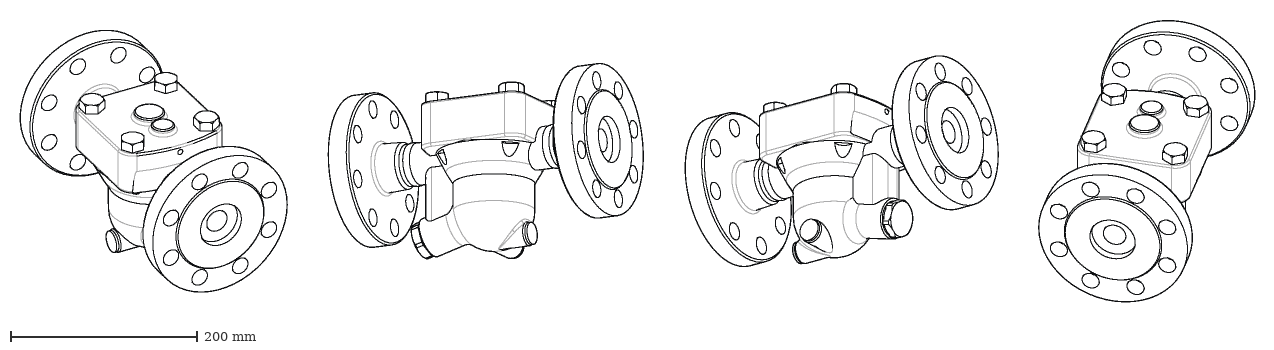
import cadquery as cq
import math

HALF_LENGTH = 150.0

FLANGE_D = 165.0
FLANGE_BACK = 124.0
RAISED_FACE_D = 105.0
RAISED_FACE_BASE_D = 108.0
RAISED_FACE_HEIGHT = 2.0
FLANGE_CHAMFER = 2.0
FLANGE_HOLE_COUNT = 8
FLANGE_HOLE_D = 19.0
FLANGE_HOLE_CIRCLE_D = 130.0

PIPE_R = 46.0 / 2
HUB_TIP_R = 25.5
HUB_ROOT_R = 26.7
HUB_FILLET = 3.0
HUB_TIP_X = 97.5
HUB_CONE_END_X = 93.5
WELD_START_X = 88.8
WELD_END_X = 80.7
WELD_CROWN = 1.0
SOCKET_D = 50.0
SOCKET_DEPTH = 9.0
PASSAGE_D = 25.0

BODY_X = -10.0
BODY_R = 44.0
BOWL_Z = -62.5
WAIST_Z = -32.7
SHOULDER_R = 51.5
SHOULDER_Z = -19.8
NECK_R = 62.0

BLOCK_LEFT = -72.3
BLOCK_RIGHT = 59.5
BLOCK_HALF_WIDTH = 62.5
BLOCK_BOTTOM = 1.0
JOINT_Z = 29.0
BLOCK_TOP = 50.7
BLOCK_CORNER_R = 16.8
BLOCK_BOWED_CORNER_R = 18.5
BLOCK_END_R = 168.0
LOWER_END_INSET = 2.0
TOP_EDGE_ROUND = 2.0
BOTTOM_EDGE_ROUND = 3.0

BOLT_OFFSET = 45.3
BOLT_FLATS = 24.0
BOLT_HEAD_HEIGHT = 10.8
BOLT_TURNED_D = 28.0
BOLT_CHAMFER = 1.5
BOLT_RELIEF_R = 10.2
BOLT_RELIEF_TOP = -1.2

PAD_HEIGHT = 7.0
PAD_CHAMFER = 1.5
PAD_FOOT = 3.0
LARGE_PAD_D = 33.0
SMALL_PAD_D = 25.0
SMALL_PAD_X = 20.7
PAD_BRIDGE_WIDTH = 10.5
PAD_BRIDGE_HEIGHT = 3.0

STUD_D = 7.8
STUD_TIP_X = 62.5
STUD_Z = 43.2

RIB_WIDTH = 40.2
RIB_END_X = 67.2
RIB_EDGE_R = 12.0

STRAINER_ANGLE = 15.0
STRAINER_R = 44.0 / 2
STRAINER_LENGTH = 80.7
STRAINER_BLEND_R = 16.8
PLUG_COLLAR_R = 38.0 / 2
PLUG_COLLAR_END = 82.8
PLUG_HEX_END = 92.5
PLUG_HEX_FLATS = 38.0
PLUG_HEX_TURNED_D = 42.0
PLUG_HEX_CHAMFER = 1.8

DRAIN_Z = -93.0
DRAIN_D = 26.0
DRAIN_TIP_D = 24.0
DRAIN_BODY_LENGTH = 41.7
DRAIN_CONE_END = 43.8
DRAIN_LENGTH = 46.5
DRAIN_BLEND_R = 3.0


def axial_cylinder(diameter, x_start, length):
    """Cylinder along +X on the pipe axis."""
    return cq.Workplane("YZ").workplane(offset=x_start).circle(diameter / 2).extrude(length)


def hexagon(flats, height):
    """Hexagonal prism with two flats facing +Y and -Y."""
    return cq.Workplane("XY").polygon(6, flats / math.cos(math.pi / 6)).extrude(height)


def pipe_end():
    """Flange, hub, weld and stub on the -X side, up to the middle of the part."""
    disc_x = -HALF_LENGTH + RAISED_FACE_HEIGHT
    flange_r = FLANGE_D / 2
    hub_x = -FLANGE_BACK + HUB_FILLET
    weld_mid_x = (WELD_START_X + WELD_END_X) / 2
    end = (
        cq.Workplane("XY")
        .moveTo(-HALF_LENGTH, 0)
        .lineTo(-HALF_LENGTH, RAISED_FACE_D / 2)
        .lineTo(disc_x, RAISED_FACE_BASE_D / 2)
        .lineTo(disc_x, flange_r)
        .lineTo(-FLANGE_BACK - FLANGE_CHAMFER, flange_r)
        .lineTo(-FLANGE_BACK, flange_r - FLANGE_CHAMFER)
        .lineTo(-FLANGE_BACK, HUB_ROOT_R + HUB_FILLET)
        .radiusArc((hub_x, HUB_ROOT_R), -HUB_FILLET)
        .lineTo(-HUB_TIP_X, HUB_TIP_R)
        .lineTo(-HUB_CONE_END_X, PIPE_R)
        .lineTo(-WELD_START_X, PIPE_R)
        .threePointArc((-weld_mid_x, PIPE_R + WELD_CROWN), (-WELD_END_X, PIPE_R))
        .lineTo(0, PIPE_R)
        .lineTo(0, 0)
        .close()
        .revolve(360, (0, 0, 0), (1, 0, 0))
    )
    bolt_holes = (
        cq.Workplane("YZ")
        .workplane(offset=-HALF_LENGTH)
        .polarArray(FLANGE_HOLE_CIRCLE_D / 2, 180 / FLANGE_HOLE_COUNT, 360, FLANGE_HOLE_COUNT)
        .circle(FLANGE_HOLE_D / 2)
        .extrude(HALF_LENGTH - FLANGE_BACK)
    )
    return end.cut(bolt_holes)


def pipe_bore():
    """Socket and blind passage on the -X side."""
    socket = axial_cylinder(SOCKET_D, -HALF_LENGTH, SOCKET_DEPTH)
    return socket.union(axial_cylinder(PASSAGE_D, -HALF_LENGTH, HALF_LENGTH - WELD_END_X))


def body():
    diagonal = BODY_R * math.sqrt(0.5)
    return (
        cq.Workplane("XZ")
        .moveTo(0, BOWL_Z - BODY_R)
        .threePointArc((diagonal, BOWL_Z - diagonal), (BODY_R, BOWL_Z))
        .lineTo(BODY_R, WAIST_Z)
        .lineTo(SHOULDER_R, SHOULDER_Z)
        .lineTo(NECK_R, BLOCK_BOTTOM)
        .lineTo(NECK_R, JOINT_Z)
        .lineTo(0, JOINT_Z)
        .close()
        .revolve(360, (0, 0, 0), (0, 1, 0))
        .translate((BODY_X, 0, 0))
    )


def block_outline(z, tip_x):
    """Square outline whose +X side bows out to tip_x."""
    bow_x = BLOCK_RIGHT - BLOCK_END_R + math.sqrt(BLOCK_END_R**2 - BLOCK_HALF_WIDTH**2)
    return (
        cq.Workplane("XY")
        .workplane(offset=z)
        .moveTo(BLOCK_LEFT, -BLOCK_HALF_WIDTH)
        .lineTo(bow_x, -BLOCK_HALF_WIDTH)
        .threePointArc((tip_x, 0), (bow_x, BLOCK_HALF_WIDTH))
        .lineTo(BLOCK_LEFT, BLOCK_HALF_WIDTH)
        .close()
    )


def block(bottom, top):
    """Square block with rounded corners and a bowed +X end."""
    solid = block_outline(bottom, BLOCK_RIGHT).extrude(top - bottom)
    solid = solid.edges("|Z").edges("<X").fillet(BLOCK_CORNER_R)
    return solid.edges("|Z").edges(">X").fillet(BLOCK_BOWED_CORNER_R)


def cover():
    return block(JOINT_Z, BLOCK_TOP).faces(">Z").edges().fillet(TOP_EDGE_ROUND)


def body_flange():
    """Lower half of the block; the tip of its bow recedes towards the bottom."""
    bottom_wire = block_outline(BLOCK_BOTTOM, BLOCK_RIGHT - LOWER_END_INSET).val()
    top_wire = block_outline(JOINT_Z, BLOCK_RIGHT).val()
    receding = cq.Workplane(cq.Solid.makeLoft([bottom_wire, top_wire], True))
    lower = block(BLOCK_BOTTOM, JOINT_Z).faces("<Z").edges().fillet(BOTTOM_EDGE_ROUND)
    return lower.intersect(receding)


def bolt_places():
    """Bolt centres, each with the turn of its head in degrees."""
    return [
        (BODY_X + x_side * BOLT_OFFSET, y_side * BOLT_OFFSET, 0 if x_side == y_side else 90)
        for x_side in (-1, 1)
        for y_side in (-1, 1)
    ]


def bolt_head():
    turned = cq.Workplane("XY").circle(BOLT_TURNED_D / 2).extrude(BOLT_HEAD_HEIGHT)
    return hexagon(BOLT_FLATS, BOLT_HEAD_HEIGHT).intersect(turned.faces(">Z").chamfer(BOLT_CHAMFER))


def pad(diameter, x):
    """Round pad with a chamfered rim and a concave foot."""
    radius = diameter / 2
    return (
        cq.Workplane("XZ")
        .moveTo(0, 0)
        .lineTo(radius + PAD_FOOT, 0)
        .radiusArc((radius, PAD_FOOT), PAD_FOOT)
        .lineTo(radius, PAD_HEIGHT - PAD_CHAMFER)
        .lineTo(radius - PAD_CHAMFER, PAD_HEIGHT)
        .lineTo(0, PAD_HEIGHT)
        .close()
        .revolve(360, (0, 0, 0), (0, 1, 0))
        .translate((x, 0, BLOCK_TOP))
    )


def pad_bridge():
    """Low web joining the pads, with concave feet like theirs."""
    top_y = PAD_BRIDGE_WIDTH / 2
    foot_y = top_y + PAD_BRIDGE_HEIGHT
    return (
        cq.Workplane("YZ")
        .moveTo(-foot_y, 0)
        .lineTo(foot_y, 0)
        .radiusArc((top_y, PAD_BRIDGE_HEIGHT), PAD_BRIDGE_HEIGHT)
        .lineTo(-top_y, PAD_BRIDGE_HEIGHT)
        .radiusArc((-foot_y, 0), PAD_BRIDGE_HEIGHT)
        .close()
        .extrude(SMALL_PAD_X - BODY_X)
        .translate((BODY_X, 0, BLOCK_TOP))
    )


def stud():
    radius = STUD_D / 2
    return (
        cq.Workplane("XY")
        .moveTo(0, 0)
        .lineTo(0, radius)
        .lineTo(STUD_TIP_X - radius, radius)
        .lineTo(STUD_TIP_X, 0)
        .close()
        .revolve(360, (0, 0, 0), (1, 0, 0))
        .translate((0, 0, STUD_Z))
    )


def rib():
    slope = math.tan(math.radians(STRAINER_ANGLE))
    end_z = BOWL_Z - slope * (RIB_END_X - BODY_X)
    return (
        cq.Workplane("XZ")
        .polyline([(BODY_X, 0), (RIB_END_X, 0), (RIB_END_X, end_z), (BODY_X, BOWL_Z)])
        .close()
        .extrude(RIB_WIDTH / 2, both=True)
        .edges("|Z and >X")
        .fillet(RIB_EDGE_R)
    )


def strainer():
    """Inclined boss blended into the bowl, with a collar and a hexagon plug."""
    blend_centre_r = STRAINER_R + STRAINER_BLEND_R
    blend_end_x = math.sqrt((BODY_R + STRAINER_BLEND_R) ** 2 - blend_centre_r**2)
    touch = BODY_R / (BODY_R + STRAINER_BLEND_R)
    touch_x = touch * blend_end_x
    touch_r = touch * blend_centre_r
    boss = (
        cq.Workplane("XY")
        .moveTo(0, 0)
        .lineTo(0, touch_r)
        .lineTo(touch_x, touch_r)
        .radiusArc((blend_end_x, STRAINER_R), -STRAINER_BLEND_R)
        .lineTo(STRAINER_LENGTH, STRAINER_R)
        .lineTo(STRAINER_LENGTH, PLUG_COLLAR_R)
        .lineTo(PLUG_COLLAR_END, PLUG_COLLAR_R)
        .lineTo(PLUG_COLLAR_END, 0)
        .close()
        .revolve(360, (0, 0, 0), (1, 0, 0))
    )
    hex_height = PLUG_HEX_END - PLUG_COLLAR_END
    turned = cq.Workplane("XY").circle(PLUG_HEX_TURNED_D / 2).extrude(hex_height)
    turned = turned.faces(">Z").chamfer(PLUG_HEX_CHAMFER)
    plug = (
        hexagon(PLUG_HEX_FLATS, hex_height)
        .intersect(turned)
        .rotate((0, 0, 0), (0, 1, 0), 90)
        .translate((PLUG_COLLAR_END, 0, 0))
    )
    return (
        boss.union(plug)
        .rotate((0, 0, 0), (0, 1, 0), STRAINER_ANGLE)
        .translate((BODY_X, 0, BOWL_Z))
    )


def drain(turn):
    """Drain boss with a stepped tip; it points to -X before being turned about the body axis."""
    radius = DRAIN_D / 2
    tip_r = DRAIN_TIP_D / 2
    return (
        cq.Workplane("XY")
        .polyline([
            (0, 0),
            (0, radius),
            (-DRAIN_BODY_LENGTH, radius),
            (-DRAIN_CONE_END, tip_r),
            (-DRAIN_LENGTH, tip_r),
            (-DRAIN_LENGTH, 0),
        ])
        .close()
        .revolve(360, (0, 0, 0), (1, 0, 0))
        .rotate((0, 0, 0), (0, 0, 1), turn)
        .translate((BODY_X, 0, DRAIN_Z))
    )


trap = body()
for x, y, _ in bolt_places():
    relief = cq.Workplane("XY").circle(BOLT_RELIEF_R).extrude(WAIST_Z - BOLT_RELIEF_TOP)
    trap = trap.cut(relief.translate((x, y, BOLT_RELIEF_TOP)))

trap = trap.union(drain(0))
trap = trap.edges("%BSPLINE").edges("<Z").fillet(DRAIN_BLEND_R)
trap = trap.union(drain(90))

trap = trap.union(rib()).union(strainer())

inlet = pipe_end()
trap = trap.union(inlet).union(inlet.mirror("YZ"))

trap = trap.union(body_flange()).union(cover())
trap = trap.union(pad(LARGE_PAD_D, BODY_X)).union(pad(SMALL_PAD_D, SMALL_PAD_X)).union(pad_bridge())
trap = trap.union(stud())
for x, y, turn in bolt_places():
    head = bolt_head().rotate((0, 0, 0), (0, 0, 1), turn)
    trap = trap.union(head.translate((x, y, BLOCK_TOP)))

bore = pipe_bore()
result = trap.cut(bore).cut(bore.mirror("YZ"))